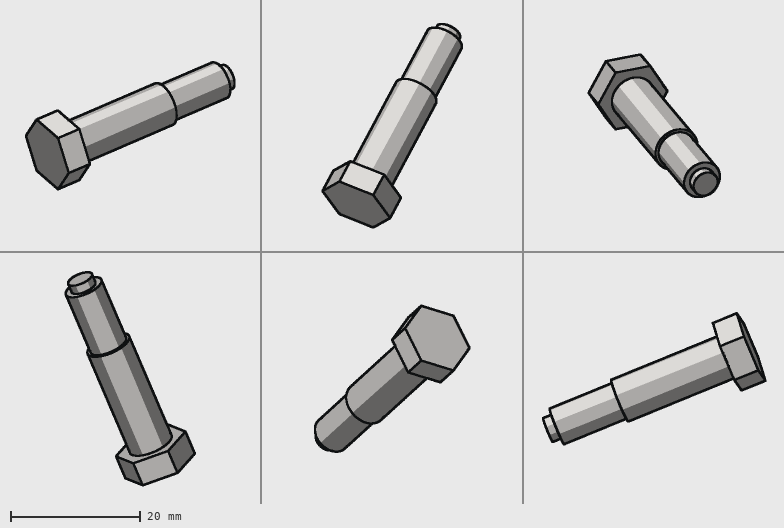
import cadquery as cq
import math

head_across_flats = 10.0
head_across_corners = head_across_flats / math.cos(math.radians(30))
head_length = 4.0

total_length = 34.0
shoulder_diameter = 7.0
shoulder_length = 18.0
neck_diameter = 6.0
tip_diameter = 4.0
tip_length = 1.5
neck_length = total_length - head_length - shoulder_length - tip_length


def section_plane(y):
    """Plane across the bolt axis at y, with its normal along +Y."""
    return cq.Workplane(cq.Plane(origin=(0, y, 0), xDir=(1, 0, 0), normal=(0, 1, 0)))


result = section_plane(0).polygon(6, head_across_corners).extrude(head_length)

shank_steps = [
    (shoulder_diameter, shoulder_length),
    (neck_diameter, neck_length),
    (tip_diameter, tip_length),
]
step_start = head_length
for diameter, length in shank_steps:
    step = section_plane(step_start).circle(diameter / 2).extrude(length)
    result = result.union(step)
    step_start += length